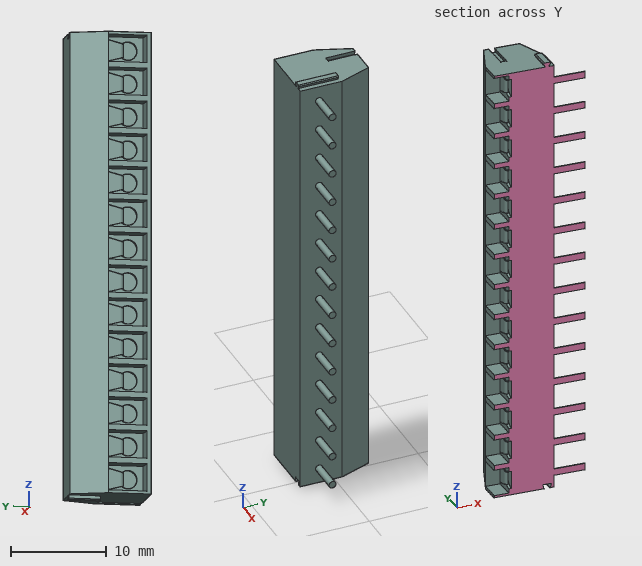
import cadquery as cq
import math

cell_count = 14
pitch = 3.5
row_length = cell_count * pitch

body_width = 6.8
body_depth = 8.4
entry_shoulder_y = 4.55
pin_shoulder_y = 4.8
roof_entry_inset = 1.4
roof_pin_inset = 1.35

pocket_height = 2.9
pocket_depth = 1.65
mouth_low_y = 0.45
back_low_y = 0.6
pocket_top_y = entry_shoulder_y

hole_radius = 0.97
hole_y = 2.2
hole_depth = 0.3

leaf_root_y = pocket_top_y
leaf_tip_y = 2.65
leaf_root_height = 2.4
leaf_tip_height = 1.4
leaf_thickness = 0.15
leaf_end_length = 0.4
leaf_bed = 0.1

pin_diameter = 0.8
pin_length = 3.5
pin_y = 2.15

dovetail_width = 0.92
tongue_neck = 0.46
tongue_tip_width = 0.66
tongue_tip_chamfer = 0.1
tongue_height = 0.48
groove_neck = 0.64
groove_depth = tongue_height
pin_side_x = 6.0
pin_side_end_y = entry_shoulder_y
entry_side_x = 2.28
entry_side_end_y = 5.07


def cell_centers():
    return [(i + 0.5) * pitch for i in range(cell_count)]


def make_housing():
    outline = [
        (0, 0),
        (body_width, 0),
        (body_width, pin_shoulder_y),
        (body_width - roof_pin_inset, body_depth),
        (roof_entry_inset, body_depth),
        (0, entry_shoulder_y),
    ]
    return cq.Workplane("XY").polyline(outline).close().extrude(row_length)


def make_pocket(z):
    outline = [
        (0, mouth_low_y),
        (pocket_depth, back_low_y),
        (pocket_depth, pocket_top_y),
        (0, pocket_top_y),
    ]
    floor = cq.Workplane("XY", origin=(0, 0, z - pocket_height / 2))
    return floor.polyline(outline).close().extrude(pocket_height)


def make_wire_hole(z):
    back = cq.Workplane("YZ", origin=(pocket_depth, 0, 0))
    return back.center(hole_y, z).circle(hole_radius).extrude(hole_depth)


def make_leaf(z):
    """Leaf whose profile bends back at both ends, trimmed to a plan that narrows toward its tip."""
    crest_x = pocket_depth - leaf_thickness
    bend_drop = leaf_thickness + leaf_bed
    bend_radius = (leaf_end_length**2 + bend_drop**2) / (2 * bend_drop)
    half_angle = math.asin(leaf_end_length / bend_radius) / 2
    mid_run = bend_radius * math.sin(half_angle)
    mid_x = crest_x + bend_radius * (1 - math.cos(half_angle))
    root_crest_y = leaf_root_y - leaf_end_length
    tip_crest_y = leaf_tip_y + leaf_end_length
    bed_x = pocket_depth + leaf_bed
    profile = (
        cq.Workplane("XY", origin=(0, 0, z - leaf_root_height / 2))
        .moveTo(bed_x, leaf_root_y)
        .threePointArc((mid_x, root_crest_y + mid_run), (crest_x, root_crest_y))
        .lineTo(crest_x, tip_crest_y)
        .threePointArc((mid_x, tip_crest_y - mid_run), (bed_x, leaf_tip_y))
        .close()
        .extrude(leaf_root_height)
    )
    plan = (
        cq.Workplane("YZ")
        .polyline(
            [
                (leaf_root_y, z - leaf_root_height / 2),
                (leaf_root_y, z + leaf_root_height / 2),
                (leaf_tip_y, z + leaf_tip_height / 2),
                (leaf_tip_y, z - leaf_tip_height / 2),
            ]
        )
        .close()
        .extrude(body_width)
    )
    return profile.intersect(plan)


def make_pin(z):
    plane = cq.Plane(origin=(body_width, pin_y, z), xDir=(0, 0, 1), normal=(1, 0, 0))
    return cq.Workplane(plane).circle(pin_diameter / 2).extrude(pin_length)


def extrude_along_y(outline, start_y, end_y):
    """Prism along Y from an outline of (x, z) points."""
    start = cq.Workplane("XZ", origin=(0, start_y, 0))
    return start.polyline(outline).close().extrude(start_y - end_y)


def make_groove(x, start_y, end_y, face_z, inward):
    """Dovetail groove cutter; inward is +1 or -1, the Z direction into the housing."""
    floor_z = face_z + inward * groove_depth
    outline = [
        (x - groove_neck / 2, face_z),
        (x + groove_neck / 2, face_z),
        (x + dovetail_width / 2, floor_z),
        (x - dovetail_width / 2, floor_z),
    ]
    return extrude_along_y(outline, start_y, end_y)


def make_tongue(x, start_y, end_y, face_z, outward):
    """Dovetail tongue with chamfered tip edges; outward is +1 or -1, the Z direction it projects."""
    wide_z = face_z + outward * (tongue_height - tongue_tip_chamfer)
    tip_z = face_z + outward * tongue_height
    outline = [
        (x - tongue_neck / 2, face_z),
        (x + tongue_neck / 2, face_z),
        (x + dovetail_width / 2, wide_z),
        (x + tongue_tip_width / 2, tip_z),
        (x - tongue_tip_width / 2, tip_z),
        (x - dovetail_width / 2, wide_z),
    ]
    return extrude_along_y(outline, start_y, end_y)


def cut_grooves(body):
    bottom = make_groove(pin_side_x, 0, pin_side_end_y, 0, 1)
    top = make_groove(entry_side_x, entry_side_end_y, body_depth, row_length, -1)
    return body.cut(bottom).cut(top)


def add_tongues(body):
    top = make_tongue(pin_side_x, 0, pin_side_end_y, row_length, 1)
    bottom = make_tongue(entry_side_x, entry_side_end_y, body_depth, 0, -1)
    return body.union(top).union(bottom)


result = cut_grooves(make_housing())
for center_z in cell_centers():
    result = result.cut(make_pocket(center_z)).cut(make_wire_hole(center_z))
    result = result.union(make_leaf(center_z)).union(make_pin(center_z))
result = add_tongues(result)